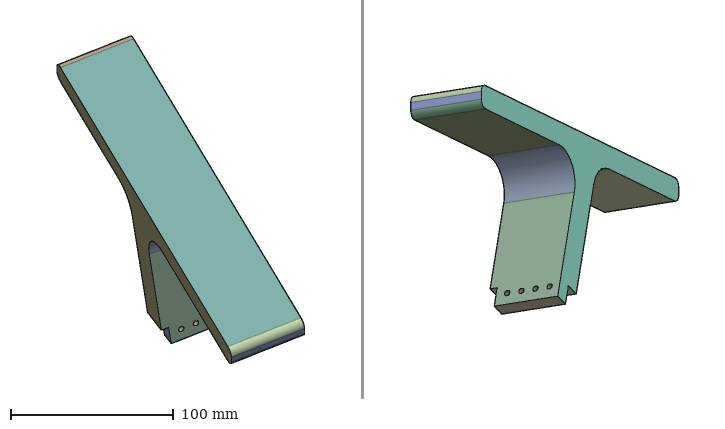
import cadquery as cq
import math

bar_length = 244.92
bar_thickness = 15.0
depth = 50.0
end_radius = 5.0

lean = math.radians(16.0)
stem_thickness = 20.2
stem_corner_x = 4.67
stem_corner_z = -105.1
root_radius = 20.0

total_height = 115.0
tab_thickness = 10.0
tab_depth = 45.0

hole_diameter = 3.6
hole_pitch = 10.0
hole_count = 4
first_hole_from_back = 7.0
hole_drop = 5.1

down = (math.sin(lean), -math.cos(lean))
across = (math.cos(lean), math.sin(lean))

tab_drop = stem_corner_z + total_height + (stem_thickness - tab_thickness) * across[1]
tab_length = tab_drop / math.cos(lean)


def stem_point(offset_across, offset_down):
    """XZ point measured from the stem's lowest corner."""
    return (
        stem_corner_x + offset_across * across[0] + offset_down * down[0],
        stem_corner_z + offset_across * across[1] + offset_down * down[1],
    )


def stem_edge_at(offset_across, z):
    """XZ point where a line along the stem reaches height z."""
    start_x, start_z = stem_point(offset_across, 0)
    return (start_x + (start_z - z) * math.tan(lean), z)


def extrude_outline(points, y_back, length):
    """Solid of an XZ outline running from y_back toward -Y."""
    plane = cq.Workplane("XZ", origin=(0, y_back, 0))
    return plane.polyline(points).close().extrude(length)


def make_body():
    """Bar and stem in one outline, with rounded roots and bar ends."""
    half_length = bar_length / 2
    left_root = stem_edge_at(0, -bar_thickness)
    right_root = stem_edge_at(stem_thickness, -bar_thickness)
    outline = [
        (-half_length, 0),
        (half_length, 0),
        (half_length, -bar_thickness),
        right_root,
        stem_point(stem_thickness, 0),
        stem_point(0, 0),
        left_root,
        (-half_length, -bar_thickness),
    ]
    body = extrude_outline(outline, depth / 2, depth)
    for x, z in (left_root, right_root):
        body = body.edges(cq.NearestToPointSelector((x, 0, z))).fillet(root_radius)
    return body.faces("<X or >X").edges("|Y").fillet(end_radius)


def make_tab():
    """Strip that continues the stem's +X side past its end."""
    inner = stem_thickness - tab_thickness
    outline = [
        stem_point(inner, 0),
        stem_point(stem_thickness, 0),
        stem_point(stem_thickness, tab_length),
        stem_point(inner, tab_length),
    ]
    return extrude_outline(outline, depth / 2, tab_depth)


def cut_holes(part):
    """Bore the row of holes square to the tab's inner face."""
    x, z = stem_point(stem_thickness - tab_thickness, hole_drop)
    for index in range(hole_count):
        y = depth / 2 - first_hole_from_back - index * hole_pitch
        inner_face = cq.Plane(
            origin=(x, y, z),
            xDir=(down[0], 0, down[1]),
            normal=(across[0], 0, across[1]),
        )
        hole = cq.Workplane(inner_face).circle(hole_diameter / 2).extrude(tab_thickness)
        part = part.cut(hole)
    return part


result = cut_holes(make_body().union(make_tab()))